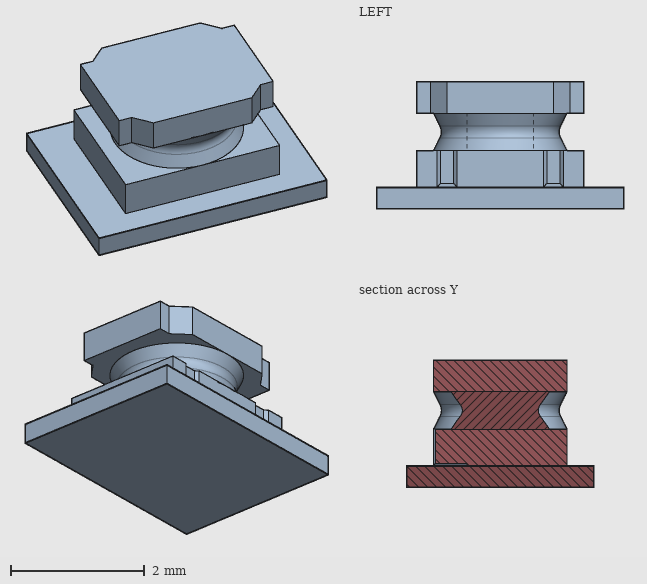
import cadquery as cq

board_length = 3.7
board_width = 2.8
board_thickness = 0.333
layer_thickness = 0.013

flange_length = 2.5
flange_width = 2.0
base_height = 0.545
waist_height = 0.56
top_height = 0.475
post_radius = 0.5

clip_width = 0.248
clip_step = 0.205

groove_width = 0.3
groove_depth = 0.05
groove_end_distance = 0.455
groove_run = 0.5

throat_edge_radius = 0.905
throat_radius = 0.885
throat_height = 0.18

board_top = board_thickness
base_top = board_top + base_height
waist_top = base_top + waist_height
waist_middle = base_top + waist_height / 2


def make_sheet(bottom, thickness):
    """Rectangle of the board's outline, standing on the given level."""
    return (
        cq.Workplane("XY", origin=(0, 0, bottom))
        .rect(board_width, board_length)
        .extrude(thickness)
    )


def groove_section(workplane, centre_y):
    """Trapezoid that is widest at the surface and narrows with 45 degree walls."""
    half_width = groove_width / 2
    half_floor = half_width - groove_depth
    return workplane.polyline([
        (0, centre_y - half_width),
        (groove_depth, centre_y - half_floor),
        (groove_depth, centre_y + half_floor),
        (0, centre_y + half_width),
    ]).close()


def make_wire_groove(centre_y):
    """Cutter that runs down the -X side of the base and turns inward underneath it."""
    side_x = -flange_width / 2
    side_plane = cq.Workplane("XY", origin=(side_x, 0, board_top))
    side_run = groove_section(side_plane, centre_y).extrude(base_height)
    bottom_plane = cq.Workplane(
        cq.Plane(origin=(side_x, 0, board_top), xDir=(0, 0, 1), normal=(1, 0, 0))
    )
    bottom_run = groove_section(bottom_plane, -centre_y).extrude(groove_run)
    return side_run.union(bottom_run)


def make_base():
    base = (
        cq.Workplane("XY", origin=(0, 0, board_top))
        .rect(flange_width, flange_length)
        .extrude(base_height)
    )
    groove_y = flange_length / 2 - groove_end_distance
    for centre_y in (-groove_y, groove_y):
        base = base.cut(make_wire_groove(centre_y))
    return base


def make_corner_clip(sign_x, sign_y):
    """Cutter for one corner of the top flange: a step that ends in a 45 degree edge."""
    corner_x = flange_width / 2
    corner_y = flange_length / 2
    outline = [
        (corner_x, corner_y),
        (corner_x - clip_width, corner_y),
        (corner_x - clip_width, corner_y - clip_step),
        (corner_x, corner_y - clip_step - clip_width),
    ]
    return (
        cq.Workplane("XY", origin=(0, 0, waist_top))
        .polyline([(sign_x * x, sign_y * y) for x, y in outline])
        .close()
        .extrude(top_height)
    )


def make_top_flange():
    flange = (
        cq.Workplane("XY", origin=(0, 0, waist_top))
        .rect(flange_width, flange_length)
        .extrude(top_height)
    )
    for sign_x in (-1, 1):
        for sign_y in (-1, 1):
            flange = flange.cut(make_corner_clip(sign_x, sign_y))
    return flange


def make_drum_core():
    post = cq.Workplane("XY", origin=(0, 0, base_top)).circle(post_radius).extrude(waist_height)
    return make_base().union(post).union(make_top_flange())


def make_winding():
    """Ring around the post, with two cones that meet in a rounded throat."""
    rim_radius = flange_width / 2
    return (
        cq.Workplane("XZ")
        .moveTo(post_radius, base_top)
        .lineTo(rim_radius, base_top)
        .lineTo(throat_edge_radius, waist_middle - throat_height / 2)
        .threePointArc(
            (throat_radius, waist_middle),
            (throat_edge_radius, waist_middle + throat_height / 2),
        )
        .lineTo(rim_radius, waist_top)
        .lineTo(post_radius, waist_top)
        .close()
        .revolve(360, (0, 0, 0), (0, 1, 0))
    )


bottom_layer = make_sheet(0, layer_thickness)
board = make_sheet(layer_thickness, board_thickness - 2 * layer_thickness)
top_layer = make_sheet(board_top - layer_thickness, layer_thickness)
drum_core = make_drum_core()
winding = make_winding()

result = cq.Compound.makeCompound([
    bottom_layer.val(),
    board.val(),
    top_layer.val(),
    drum_core.val(),
    winding.val(),
])